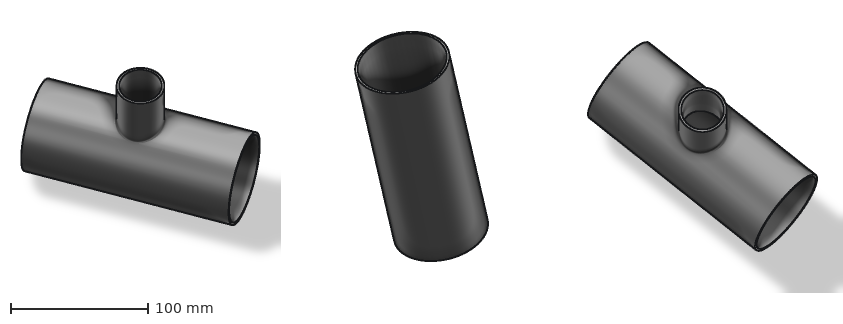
import cadquery as cq

run_length = 160.0
run_outer_diameter = 70.0
wall = 2.0
run_inner_diameter = run_outer_diameter - 2 * wall

branch_outer_diameter = 35.0
branch_inner_diameter = branch_outer_diameter - 2 * wall
branch_top = 72.5

junction_fillet = 2.0


def run_cylinder(diameter):
    """Cylinder along X over the full length of the main pipe."""
    return cq.Workplane("YZ").circle(diameter / 2).extrude(run_length / 2, both=True)


def branch_cylinder(diameter):
    """Cylinder along Z from the main pipe axis to the branch opening."""
    return cq.Workplane("XY").circle(diameter / 2).extrude(branch_top)


def junction_edges():
    """Box selector around the outer seam between branch and main pipe."""
    reach = branch_outer_diameter / 2 + wall
    return cq.selectors.BoxSelector(
        (-reach, -reach, 0),
        (reach, reach, run_outer_diameter / 2 + wall),
        boundingbox=True,
    )


def outer_body():
    """Solid tee with its junction seam rounded."""
    tee = run_cylinder(run_outer_diameter).union(branch_cylinder(branch_outer_diameter))
    return tee.edges(junction_edges()).fillet(junction_fillet)


result = (
    outer_body()
    .cut(run_cylinder(run_inner_diameter))
    .cut(branch_cylinder(branch_inner_diameter))
)